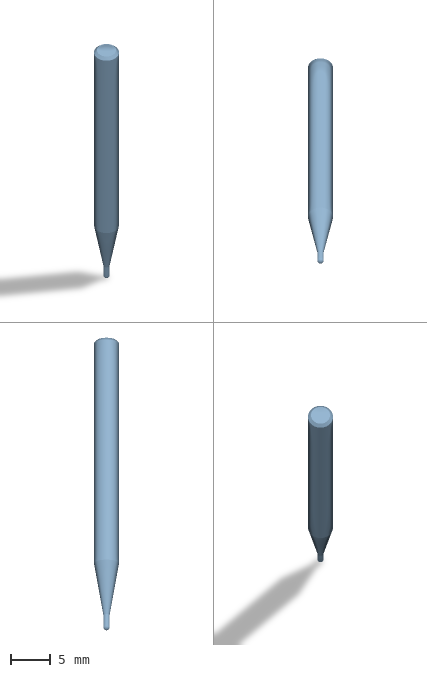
import cadquery as cq
import math

total_length = 38.1
shank_diameter = 3.15
neck_diameter = 0.8
shank_start = 8.8
neck_end = 2.02
end_chamfer = 0.4

shank_radius = shank_diameter / 2
ball_radius = neck_diameter / 2
tip_z = -total_length / 2
end_z = total_length / 2

ball_mid_x = ball_radius * math.sin(math.pi / 4)
ball_mid_z = tip_z + ball_radius * (1 - math.cos(math.pi / 4))

profile = (
    cq.Workplane("XZ")
    .moveTo(0, tip_z)
    .threePointArc((ball_mid_x, ball_mid_z), (ball_radius, tip_z + ball_radius))
    .lineTo(ball_radius, tip_z + neck_end)
    .lineTo(shank_radius, tip_z + shank_start)
    .lineTo(shank_radius, end_z - end_chamfer)
    .lineTo(shank_radius - end_chamfer, end_z)
    .lineTo(0, end_z)
    .close()
)

result = profile.revolve(360, (0, 0, 0), (0, 1, 0))